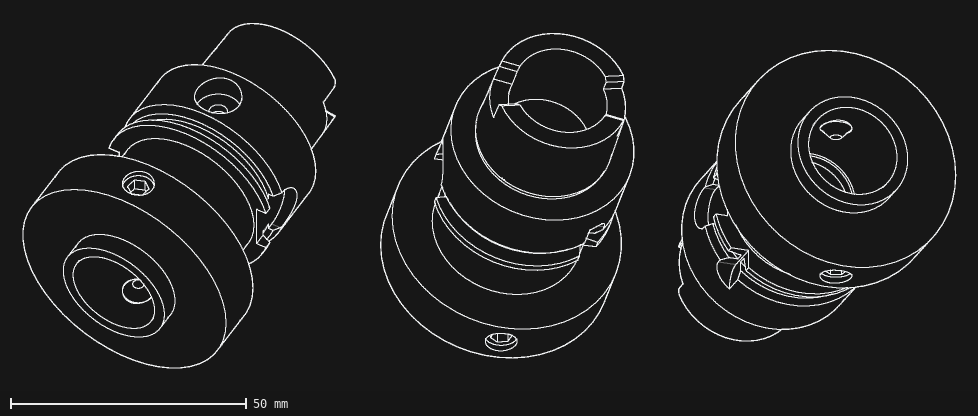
import cadquery as cq
import math


length = 71.3
nose_dia = 24.9
nose_length = 4.5
disc_dia = 50.0
disc_end = 16.0
neck_dia = 32.5
flange_start = 31.45
flange_end = 51.35
flange_dia = 39.9
relief_dia = 29.2
taper_start = 52.7
taper_base_dia = 29.8
taper_tip_dia = 28.9

groove_dia = 34.8
groove_start = 34.4
groove_end = 36.4
steep_chamfer_start = 33.15
rear_chamfer_length = 1.8
rear_chamfer_drop = 1.1

tool_bore_dia = 20.0
tool_bore_depth = 25.7
drill_dia = 19.0
drill_depth = 28.5
drill_point_angle = 118.0
clamp_bore_dia = 21.0

drive_slot_inner_width = 8.2
drive_slot_outer_width = 9.7
drive_slot_inner_x = 9.7
drive_slot_outer_x = 13.55
drive_slot_far_x = 17.8
shallow_drive_depth = 3.65
deep_drive_depth = 6.0
drive_mouth_chamfer = 0.9

slot_floor_x = 16.9
slot_end = 43.35
cutter_overrun = 0.7
left_slot_width = 9.1
right_slot_width = 11.0
notch_floor_x = 12.05
notch_width = 8.0
notch_wall_z = -11.9

pocket_dia = 10.05
pocket_y = 44.35
pocket_depth = 5.35
pilot_dia = 4.0
pilot_depth = 2.15

screw_dia = 6.8
screw_y = 10.4
screw_recess = 1.4
screw_tip_radius = 7.5
screw_tip_dia = 2.4
hex_across_flats = 4.0
hex_depth = 2.85
hex_turn = 9.0


def point_height(diameter):
    """Height of the conical bottom left by a drill."""
    return diameter / 2 / math.tan(math.radians(drill_point_angle / 2))


def revolve_about_y(points):
    """Solid of revolution from (radius, y) points, closed along the Y axis."""
    return cq.Workplane("XY").polyline(points).close().revolve(360, (0, 0, 0), (0, 1, 0))


def make_body():
    flange_radius = flange_dia / 2
    return revolve_about_y([
        (0, 0),
        (nose_dia / 2, 0),
        (nose_dia / 2, nose_length),
        (disc_dia / 2, nose_length),
        (disc_dia / 2, disc_end),
        (neck_dia / 2, disc_end),
        (neck_dia / 2, flange_start),
        (flange_radius, flange_start),
        (flange_radius, steep_chamfer_start),
        (groove_dia / 2, groove_start),
        (groove_dia / 2, groove_end),
        (flange_radius - rear_chamfer_drop, groove_end),
        (flange_radius, groove_end + rear_chamfer_length),
        (flange_radius, flange_end),
        (relief_dia / 2, flange_end),
        (relief_dia / 2, taper_start),
        (taper_base_dia / 2, taper_start),
        (taper_tip_dia / 2, length),
        (0, length),
    ])


def make_bores():
    tool_bore = revolve_about_y([
        (0, 0),
        (tool_bore_dia / 2, 0),
        (tool_bore_dia / 2, tool_bore_depth),
        (drill_dia / 2, tool_bore_depth),
        (drill_dia / 2, drill_depth),
        (0, drill_depth + point_height(drill_dia)),
    ])
    clamp_bore = revolve_about_y([
        (0, flange_end),
        (clamp_bore_dia / 2, flange_end),
        (clamp_bore_dia / 2, length),
        (0, length),
    ])
    return tool_bore.union(clamp_bore)


def slot_section(y, widening):
    """Wire across the taper wall at height y, opening outwards in +X."""
    half_width_gain = (drive_slot_outer_width - drive_slot_inner_width) / 2
    slope = half_width_gain / (drive_slot_outer_x - drive_slot_inner_x)
    axis_half = drive_slot_inner_width / 2 - slope * drive_slot_inner_x + widening
    far_half = axis_half + slope * drive_slot_far_x
    points = [(0, axis_half), (drive_slot_far_x, far_half), (drive_slot_far_x, -far_half), (0, -axis_half)]
    return cq.Wire.makePolygon([cq.Vector(x, y, z) for x, z in points], close=True)


def make_drive_slot(depth):
    """Drive slot on the +X side with flared walls and a bevelled mouth."""
    bevel_start = length - drive_mouth_chamfer
    straight = cq.Solid.makeLoft(
        [slot_section(length - depth, 0), slot_section(length, 0)], True)
    mouth = cq.Solid.makeLoft(
        [slot_section(bevel_start, 0), slot_section(length, drive_mouth_chamfer)], True)
    return cq.Workplane(straight).union(cq.Workplane(mouth))


def make_flange_slot(width, floor_x, center_z):
    """Round-ended slot on the +X side, open towards the neck."""
    radius = width / 2
    center_y = slot_end - radius
    cut_depth = flange_dia / 2 - floor_x + cutter_overrun
    slot_length = center_y - flange_start
    straight = cq.Workplane("XY").box(cut_depth, slot_length, width, centered=(False, False, True))
    straight = straight.translate((floor_x, flange_start, center_z))
    rounded_end = cq.Workplane("YZ", origin=(floor_x, center_y, center_z)).circle(radius).extrude(cut_depth)
    return straight.union(rounded_end)


def make_pocket():
    """Round pocket from the top of the flange with a drilled pilot in its floor."""
    top = flange_dia / 2
    floor = top - pocket_depth
    pilot_end = floor - pilot_depth
    profile = [
        (0, top),
        (pocket_dia / 2, top),
        (pocket_dia / 2, floor),
        (pilot_dia / 2, floor),
        (pilot_dia / 2, pilot_end),
        (0, pilot_end - point_height(pilot_dia)),
    ]
    cutter = cq.Workplane("XZ").polyline(profile).close().revolve(360, (0, 0, 0), (0, 1, 0))
    return cutter.translate((0, pocket_y, 0))


def make_screw():
    """Set screw along +Z: hex socket outside, 45 degree flat-ended point in the tool bore."""
    head = disc_dia / 2 - screw_recess
    shoulder = screw_tip_radius + (screw_dia - screw_tip_dia) / 2
    profile = [
        (0, screw_tip_radius),
        (screw_tip_dia / 2, screw_tip_radius),
        (screw_dia / 2, shoulder),
        (screw_dia / 2, head),
        (0, head),
    ]
    screw = cq.Workplane("XZ").polyline(profile).close().revolve(360, (0, 0, 0), (0, 1, 0))
    hex_across_corners = hex_across_flats / math.cos(math.pi / 6)
    socket = cq.Workplane("XY", origin=(0, 0, head)).polygon(6, hex_across_corners).extrude(-hex_depth)
    socket = socket.rotate((0, 0, 0), (0, 0, 1), 30 - hex_turn)
    return screw.cut(socket).translate((0, screw_y, 0))


def make_screw_hole():
    return cq.Workplane("XY", origin=(0, screw_y, 0)).circle(screw_dia / 2).extrude(disc_dia / 2)


def turned(shape):
    """Copy of a shape turned half a revolution about the holder axis."""
    return shape.rotate((0, 0, 0), (0, 1, 0), 180)


result = make_body().cut(make_bores())

result = result.cut(turned(make_drive_slot(shallow_drive_depth)))
result = result.cut(make_drive_slot(deep_drive_depth))

notch_center_z = notch_wall_z - notch_width / 2
result = result.cut(turned(make_flange_slot(left_slot_width, slot_floor_x, 0)))
result = result.cut(make_flange_slot(right_slot_width, slot_floor_x, 0))
result = result.cut(turned(make_flange_slot(notch_width, notch_floor_x, -notch_center_z)))

result = result.cut(make_pocket())

screw_hole = make_screw_hole()
screw = make_screw()
for hole, insert in [(screw_hole, screw), (turned(screw_hole), turned(screw))]:
    result = result.cut(hole).union(insert)